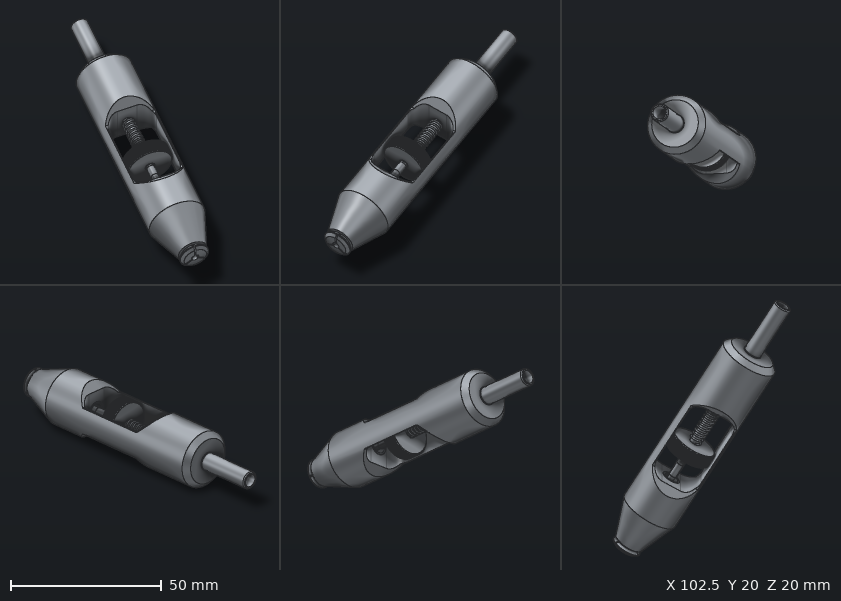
import cadquery as cq
import math


housing_length = 80.0
housing_dia = 20.0
rear_chamfer = 2.0
nose_length = 13.6
nose_tip_dia = 10.2
window_length = 30.0
window_width = 17.0
window_corner = 5.0
window_center = 37.5
flat_length = 25.2
flat_half_height = 4.8
rod_bore_dia = 3.5
nose_bore_dia = 6.35

window_start = window_center - window_length / 2
window_end = window_center + window_length / 2

tube_dia = 6.1
tube_bore_dia = 4.4
tube_overhang = 20.0
tube_insertion = 15.0
tube_chamfer = 0.4
tube_collar_dia = 6.35
tube_collar_length = 0.3

knob_start = 37.6
knob_length = 5.0
knob_end = knob_start + knob_length
knob_dia = 16.5
knob_chamfer = 0.5
knurl_teeth = 120
knurl_depth = 0.25

rod_start = tube_insertion
rod_dia = 3.46
rod_stub_dia = 2.85
rod_stub_length = 2.0
rod_tip_dia = 2.05
rod_nose_dia = 2.85
rod_nose_end = knob_end + 0.6

wire_dia = 0.6
spring_end_gap = 0.06
spring_inside_dia = 3.5
spring_pitch = 1.44

sleeve_dia = rod_nose_dia
sleeve_end = 51.7
sleeve_chamfer = 0.2
needle_dia = 2.35
needle_insertion = 5.0
needle_end = housing_length

collet_shank_dia = 6.1
collet_head_length = 2.5
collet_neck_length = 0.6
collet_neck_dia = 8.0
collet_bead_dia = 10.2
collet_bead_start = housing_length + 1.35
collet_bead_width = 0.3
collet_bore_dia = 2.5
collet_rear_bore_dia = 5.0
collet_rear_bore_depth = 5.0
collet_end = housing_length + collet_head_length
slit_count = 3
slit_width = 0.5
slit_length = 18.0


def cylinder(x_start, x_end, diameter):
    """Solid cylinder on the X axis between two stations."""
    return cq.Workplane("YZ", origin=(x_start, 0, 0)).circle(diameter / 2).extrude(x_end - x_start)


def revolved(profile):
    """Solid of revolution about X from (x, radius) points."""
    return cq.Workplane("XY").polyline(profile).close().revolve(360, (0, 0, 0), (1, 0, 0))


def relief(side):
    """Trapezoidal cut with 45 degree ends; side is +1 above the axis and -1 below."""
    rise = housing_dia / 2 - flat_half_height
    half_flat = flat_length / 2
    outline = [
        (window_center - half_flat, side * flat_half_height),
        (window_center + half_flat, side * flat_half_height),
        (window_center + half_flat + rise, side * housing_dia / 2),
        (window_center - half_flat - rise, side * housing_dia / 2),
    ]
    return cq.Workplane("XZ").polyline(outline).close().extrude(housing_dia / 2, both=True)


def make_housing():
    radius = housing_dia / 2
    body = revolved([
        (0, 0),
        (0, radius - rear_chamfer),
        (rear_chamfer, radius),
        (housing_length - nose_length, radius),
        (housing_length, nose_tip_dia / 2),
        (housing_length, 0),
    ])
    window = (
        cq.Workplane("XY")
        .center(window_center, 0)
        .rect(window_length, window_width)
        .extrude(housing_dia / 2, both=True)
        .edges("|Z")
        .fillet(window_corner)
    )
    body = body.cut(window)
    for side in (1, -1):
        body = body.cut(relief(side))
    body = body.cut(cylinder(0, tube_insertion, tube_dia))
    body = body.cut(cylinder(tube_insertion, window_start, rod_bore_dia))
    return body.cut(cylinder(window_end, housing_length, nose_bore_dia))


def make_tube():
    tube = cylinder(-tube_overhang, tube_insertion, tube_dia).faces("<X").edges().chamfer(tube_chamfer)
    tube = tube.union(cylinder(-tube_collar_length, 0, tube_collar_dia))
    return tube.cut(cylinder(-tube_overhang, tube_insertion, tube_bore_dia))


def make_rod():
    stub_end = rod_start + rod_stub_length
    stub_bevel = (rod_stub_dia - rod_tip_dia) / 2
    return revolved([
        (rod_start, 0),
        (rod_start, rod_tip_dia / 2),
        (rod_start + stub_bevel, rod_stub_dia / 2),
        (stub_end, rod_stub_dia / 2),
        (stub_end, rod_dia / 2),
        (knob_end, rod_dia / 2),
        (knob_end, rod_nose_dia / 2),
        (rod_nose_end, rod_nose_dia / 2),
        (rod_nose_end, 0),
    ])


def make_spring():
    """Round wire coil between the rear window wall and the knob."""
    coil_radius = (spring_inside_dia + wire_dia) / 2
    coil_length = knob_start - window_start - wire_dia - 2 * spring_end_gap
    path = cq.Wire.makeHelix(spring_pitch, coil_length, coil_radius)
    tangent = cq.Vector(0, 2 * math.pi * coil_radius, spring_pitch)
    start = cq.Plane(origin=(coil_radius, 0, 0), xDir=(1, 0, 0), normal=tangent)
    coil = cq.Workplane(start).circle(wire_dia / 2).sweep(cq.Workplane(path), isFrenet=True)
    coil = coil.rotate((0, 0, 0), (0, 1, 0), 90)
    return coil.translate((window_start + wire_dia / 2 + spring_end_gap, 0, 0))


def make_knob():
    """Chamfered disc with a straight V knurl around its rim."""
    disc = cylinder(knob_start, knob_end, knob_dia).faces("<X or >X").edges().chamfer(knob_chamfer)
    rim = []
    for i in range(2 * knurl_teeth):
        radius = knob_dia / 2 - (i % 2) * knurl_depth
        angle = math.pi * i / knurl_teeth
        rim.append((radius * math.cos(angle), radius * math.sin(angle)))
    toothed = cq.Workplane("YZ", origin=(knob_start, 0, 0)).polyline(rim).close().extrude(knob_length)
    return disc.intersect(toothed).cut(cylinder(knob_start, knob_end, rod_dia))


def make_sleeve():
    sleeve = cylinder(rod_nose_end, sleeve_end, sleeve_dia).faces(">X").edges().chamfer(sleeve_chamfer)
    return sleeve.cut(cylinder(sleeve_end - needle_insertion, sleeve_end, needle_dia))


def make_needle():
    return cylinder(sleeve_end - needle_insertion, needle_end, needle_dia)


def make_collet():
    neck_end = housing_length + collet_neck_length
    bead_end = collet_bead_start + collet_bead_width
    collet = revolved([
        (window_end, 0),
        (window_end, collet_shank_dia / 2),
        (housing_length, collet_shank_dia / 2),
        (housing_length, collet_neck_dia / 2),
        (neck_end, collet_neck_dia / 2),
        (collet_bead_start, collet_bead_dia / 2),
        (bead_end, collet_bead_dia / 2),
        (collet_end, collet_neck_dia / 2),
        (collet_end, 0),
    ])
    collet = collet.cut(cylinder(window_end, collet_end, collet_bore_dia))
    collet = collet.cut(cylinder(window_end, window_end + collet_rear_bore_depth, collet_rear_bore_dia))
    slit = (
        cq.Workplane("XY")
        .box(slit_length, slit_width, collet_bead_dia / 2, centered=(False, True, False))
        .translate((collet_end - slit_length, 0, 0))
    )
    for i in range(slit_count):
        collet = collet.cut(slit.rotate((0, 0, 0), (1, 0, 0), 360 * i / slit_count))
    return collet


housing = make_housing()
tube = make_tube()
rod = make_rod()
spring = make_spring()
knob = make_knob()
sleeve = make_sleeve()
needle = make_needle()
collet = make_collet()

result = cq.Compound.makeCompound([
    housing.val(),
    tube.val(),
    rod.val(),
    spring.val(),
    knob.val(),
    sleeve.val(),
    needle.val(),
    collet.val(),
])